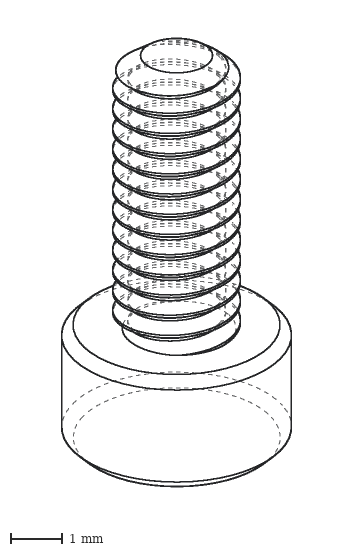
import cadquery as cq
import math

thread_diameter = 2.5
pitch = 0.45
core_diameter = 1.92
shank_length = 6.0
head_diameter = 4.5
head_height = 2.5
head_chamfer = 0.225
tip_diameter = 1.41
tip_cone_angle = 36.0
flank_angle = 30.0

thread_radius = thread_diameter / 2
core_radius = core_diameter / 2
tip_radius = tip_diameter / 2
total_height = head_height + shank_length
crest_width = pitch / 8

ridge_start = head_height - pitch
ridge_turns = math.ceil(shank_length / pitch) + 1
ridge_length = ridge_turns * pitch

ridge_sink = 0.04
core_margin = 0.5
trim_clearance = 0.05


def flank_rise(radius):
    """Axial distance along a flank from the crest in to the given radius."""
    return (thread_radius - radius) * math.tan(math.radians(flank_angle))


def tip_cone_z(radius):
    """Height of the tip cone at the given radius."""
    return total_height - (radius - tip_radius) * math.tan(math.radians(tip_cone_angle))


def make_head():
    """Plain cylinder, chamfered on both rims."""
    head = cq.Workplane("XY").circle(head_diameter / 2).extrude(head_height)
    return head.faces("<Z or >Z").chamfer(head_chamfer)


def make_ridge():
    """Right-handed trapezoidal thread ridge; its flanks run on into the core."""
    inner_radius = core_radius - ridge_sink
    half_crest = crest_width / 2
    half_base = half_crest + flank_rise(inner_radius)
    section = [
        (inner_radius, -half_base),
        (thread_radius, -half_crest),
        (thread_radius, half_crest),
        (inner_radius, half_base),
    ]
    helix = cq.Workplane(cq.Wire.makeHelix(pitch, ridge_length, core_radius))
    ridge = cq.Workplane("XZ").polyline(section).close().sweep(helix, isFrenet=True)
    return ridge.translate((0, 0, ridge_start))


def make_core():
    """Plain rod under the thread, longer than the ridge at both ends."""
    bottom = ridge_start - core_margin
    length = ridge_length + 2 * core_margin
    return cq.Workplane("XY").workplane(offset=bottom).circle(core_radius).extrude(length)


def make_shank_envelope():
    """Space the shank may fill: from the head's top plane up to the tip cone."""
    envelope_radius = thread_radius + trim_clearance
    outline = [
        (0, head_height),
        (envelope_radius, head_height),
        (envelope_radius, tip_cone_z(envelope_radius)),
        (tip_radius, total_height),
        (0, total_height),
    ]
    return cq.Workplane("XZ").polyline(outline).close().revolve(360, (0, 0), (0, 1))


shank = make_core().union(make_ridge()).intersect(make_shank_envelope())
result = make_head().union(shank)